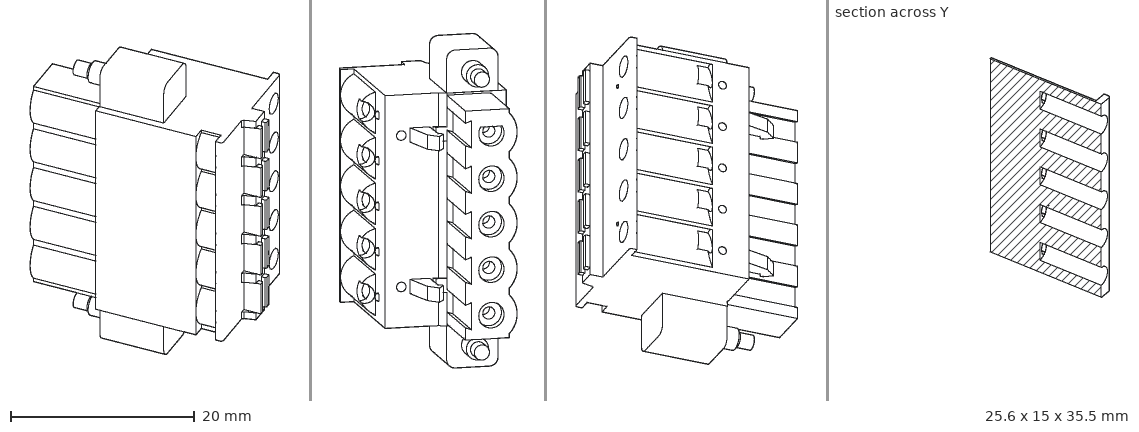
import cadquery as cq

pole_count = 5
pole_pitch = 5.08
pole_centers = [(i - (pole_count - 1) / 2) * pole_pitch for i in range(pole_count)]

housing_front = 8.3
housing_step_front = 8.75
housing_rear = 23.55
housing_top = 13.53
housing_height = 26.0
step_low_y = 6.7
step_high_y = 7.53

plate_front = 22.7
plate_top = 15.0
plate_corner_radius = 0.32

recess_front = 20.35
recess_depth = 1.4
recess_half_chord = 2.38
recess_lobe_shift = 0.15

ridge_start = 13.05
ridge_half_chord = 2.3
ridge_slope_run = 1.3
groove_end = 15.37
groove_radius = 1.1
groove_y = 14.7
rear_hole_radius = 1.17
rear_hole_y = 13.28

plug_bottom = 0.9
plug_valley_y = 1.78
plug_half_chord = 2.15
plug_height = 25.55
contact_y = 3.8
socket_radius = 1.42
socket_depth = 1.15
contact_hole_radius = 0.67
contact_hole_depth = 3.55
coding_flat_offset = 0.75
key_depth = 0.67
key_mouth_width = 2.52
key_floor_width = 3.0

flange_front = 8.38
flange_rear = 16.05
flange_bottom = 0.92
flange_tip_z = 17.75
flange_corner_radius = 1.0
pin_z = 15.23
pin_radius = 1.25
pin_tip_radius = 0.85
pin_tip_x = 4.22
pin_cone_start = 5.9
pin_cone_end = 6.2

latch_z = 8.45
latch_width = 1.6
latch_outline = [
    (housing_step_front, 10.72),
    (4.9, 9.75),
    (3.73, 8.7),
    (4.7, 8.02),
    (5.0, 8.02),
    (5.25, 8.45),
    (housing_step_front, 8.52),
]
latch_stop_top = 8.13
latch_stop_edge = 7.9

pip_y = 11.7
pip_radius = 0.55
pip_height = 0.25
top_pip_x = 11.9
top_pip_radius = 0.45
top_pip_height = 0.35
rear_pip_radius = 0.2
rear_pip_height = 0.15

tab_rear = 25.03
tab_top = 7.6
tab_root_y = 4.9
tab_shoulder_y = 5.1
tab_shoulder_run = 0.2
tab_tip_y = 5.43
tongue_rear = 25.6
tongue_bottom = 5.5
tongue_top = 7.55
tongue_width = 3.87
tongue_slot_bottom = 6.1
tongue_slot_top = 6.9
tongue_slot_chamfer = 0.15


def box_between(x0, x1, y0, y1, z0, z1):
    return cq.Workplane("XY").box(x1 - x0, y1 - y0, z1 - z0, centered=False).translate((x0, y0, z0))


def extrude_z(points, center_z, width):
    """Extrude an outline in X and Y symmetrically about a height."""
    return cq.Workplane("XY", origin=(0, 0, center_z)).polyline(points).close().extrude(width / 2, both=True)


def rod(x0, x1, y, z, radius):
    return cq.Workplane("YZ", origin=(x0, y, z)).circle(radius).extrude(x1 - x0)


def pole_lobe(x0, x1, base_y, crest_y, z, half_chord):
    """Circular-segment bar along X, standing on base_y and reaching crest_y."""
    return (
        cq.Workplane("YZ", origin=(x0, 0, 0))
        .moveTo(base_y, z - half_chord)
        .threePointArc((crest_y, z), (base_y, z + half_chord))
        .close()
        .extrude(x1 - x0)
    )


def dome(base, direction, radius, height):
    """Spherical cap standing on a face that is parallel to Z."""
    sphere_radius = (radius**2 + height**2) / (2 * height)
    return (
        cq.Workplane(cq.Plane(origin=base, xDir=direction, normal=(0, 0, 1)))
        .moveTo(0, 0)
        .lineTo(height, 0)
        .radiusArc((0, radius), -sphere_radius)
        .close()
        .revolve(360, (0, 0, 0), (1, 0, 0))
    )


def make_housing():
    half = housing_height / 2
    outline = [
        (housing_front, 0),
        (plate_front, 0),
        (plate_front, housing_top),
        (housing_step_front, housing_top),
        (housing_step_front, step_high_y),
        (housing_front, step_low_y),
    ]
    body = extrude_z(outline, 0, housing_height)
    body = body.cut(box_between(recess_front, plate_front, 0, recess_depth, -half, half))
    plate = box_between(plate_front, housing_rear, 0, plate_top, -half, half)
    body = body.union(plate.edges(">X and |Z").fillet(plate_corner_radius))
    for z in pole_centers:
        lobe_z = z + recess_lobe_shift
        body = body.union(pole_lobe(recess_front, plate_front, recess_depth, 0, lobe_z, recess_half_chord))
    return body


def make_ridge(z):
    """Rounded wire entry with a sloped nose and an open groove leading in."""
    ridge = pole_lobe(ridge_start, plate_front, housing_top, plate_top, z, ridge_half_chord)
    nose = [
        (ridge_start, housing_top),
        (ridge_start, plate_top),
        (ridge_start + ridge_slope_run, plate_top),
    ]
    ridge = ridge.cut(extrude_z(nose, z, pole_pitch))
    return ridge.cut(rod(ridge_start, groove_end, groove_y, z, groove_radius))


def make_plug():
    half = plug_height / 2
    plug = box_between(0, housing_front, plug_valley_y, step_low_y, -half, half)
    for z in pole_centers:
        plug = plug.union(pole_lobe(0, housing_front, plug_valley_y, plug_bottom, z, plug_half_chord))
    for z in pole_centers:
        socket = rod(0, socket_depth, contact_y, z, socket_radius)
        if z == max(pole_centers):
            socket = socket.intersect(
                box_between(0, socket_depth, 0, step_low_y, -half, z + coding_flat_offset)
            )
        plug = plug.cut(socket)
        plug = plug.cut(rod(0, contact_hole_depth, contact_y, z, contact_hole_radius))
        key_floor_y = step_low_y - key_depth
        key = (
            cq.Workplane("YZ")
            .polyline([
                (step_low_y, z - key_mouth_width / 2),
                (step_low_y, z + key_mouth_width / 2),
                (key_floor_y, z + key_floor_width / 2),
                (key_floor_y, z - key_floor_width / 2),
            ])
            .close()
            .extrude(housing_front)
        )
        plug = plug.cut(key)
    return plug


def make_flange():
    """Upper screw flange with its stepped pin."""
    flange = box_between(
        flange_front, flange_rear, flange_bottom, step_low_y, housing_height / 2, flange_tip_z
    )
    flange = flange.edges(">Z and |X").fillet(flange_corner_radius)
    pin = (
        cq.Workplane("XY")
        .polyline([
            (pin_tip_x, 0),
            (pin_tip_x, pin_tip_radius),
            (pin_cone_start, pin_tip_radius),
            (pin_cone_end, pin_radius),
            (flange_front, pin_radius),
            (flange_front, 0),
        ])
        .close()
        .revolve(360, (0, 0, 0), (1, 0, 0))
        .translate((0, contact_y, pin_z))
    )
    return flange.union(pin)


def make_latch(z):
    """Hooked latch arm with the stop below it and the front and rear pips in line with it."""
    stop_outline = [
        (housing_front, step_low_y),
        (housing_front, latch_stop_edge),
        (housing_step_front, latch_stop_top),
        (housing_step_front, step_low_y),
    ]
    latch = extrude_z(latch_outline, z, latch_width).union(extrude_z(stop_outline, z, latch_width))
    latch = latch.union(dome((housing_step_front, pip_y, z), (-1, 0, 0), pip_radius, pip_height))
    return latch.union(dome((housing_rear, pip_y, z), (1, 0, 0), rear_pip_radius, rear_pip_height))


def make_tab():
    """Rear rail with one slotted tongue at each pole."""
    rail_outline = [
        (housing_rear, tab_top),
        (tab_rear, tab_top),
        (tab_rear, tab_tip_y),
        (housing_rear + tab_shoulder_run, tab_shoulder_y),
        (housing_rear, tab_root_y),
    ]
    tongue_outline = [
        (housing_rear, tongue_bottom),
        (tongue_rear, tongue_bottom),
        (tongue_rear, tongue_slot_bottom - tongue_slot_chamfer),
        (tongue_rear - tongue_slot_chamfer, tongue_slot_bottom),
        (tab_rear, tongue_slot_bottom),
        (tab_rear, tongue_slot_top),
        (tongue_rear - tongue_slot_chamfer, tongue_slot_top),
        (tongue_rear, tongue_slot_top + tongue_slot_chamfer),
        (tongue_rear, tongue_top),
        (housing_rear, tongue_top),
    ]
    tab = extrude_z(rail_outline, 0, housing_height)
    for z in pole_centers:
        clearance = box_between(
            housing_rear, tab_rear, tab_root_y, tongue_bottom, z - tongue_width / 2, z + tongue_width / 2
        )
        tab = tab.cut(clearance).union(extrude_z(tongue_outline, z, tongue_width))
    return tab


upper_flange = make_flange()
result = make_housing().union(make_plug()).union(make_tab())
result = result.union(upper_flange).union(upper_flange.mirror("XY"))
for side in (-1, 1):
    result = result.union(make_latch(side * latch_z))
for pole_z in pole_centers:
    result = result.union(make_ridge(pole_z))
    top_pip = dome((top_pip_x, housing_top, pole_z), (0, 1, 0), top_pip_radius, top_pip_height)
    result = result.union(top_pip)
for pole_z in pole_centers:
    result = result.cut(rod(groove_end, housing_rear, rear_hole_y, pole_z, rear_hole_radius))